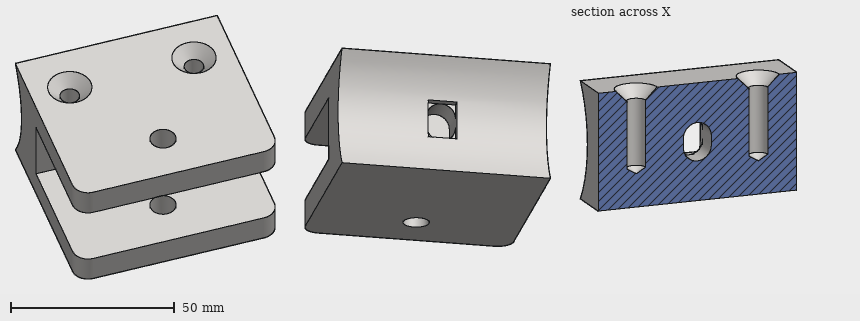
import cadquery as cq
import math

length = 60.0
width = 65.0
height = 37.5
corner_radius = 5.0

saddle_depth = 5.9

gap_start = 20.0
gap_height = 20.0

bolt_x = 45.0
bolt_diameter = 8.0

screw_x = 15.0
screw_spacing = 40.0
screw_diameter = 6.0
screw_depth = 25.0
sink_diameter = 13.5
sink_angle = 90.0
drill_tip_angle = 118.0

skin_thickness = 2.0
window_width = 9.0
window_height = 12.0
pocket_end = 17.0


def make_block():
    """U-shaped body with a hollow saddle face and rounded jaw corners."""
    block = (
        cq.Workplane("XZ")
        .moveTo(0, -height / 2)
        .lineTo(length, -height / 2)
        .lineTo(length, height / 2)
        .lineTo(0, height / 2)
        .threePointArc((saddle_depth, 0), (0, -height / 2))
        .close()
        .extrude(width / 2, both=True)
    )
    block = block.edges("|Z and >X").fillet(corner_radius)
    gap_length = length - gap_start
    gap = cq.Workplane("XY").box(gap_length, width, gap_height).translate((gap_start + gap_length / 2, 0, 0))
    return block.cut(gap)


def make_screw_hole(y):
    """Countersink, straight bore and conical drill tip, revolved about a vertical axis."""
    bore_radius = screw_diameter / 2
    sink_radius = sink_diameter / 2
    sink_depth = (sink_radius - bore_radius) / math.tan(math.radians(sink_angle / 2))
    tip_depth = bore_radius / math.tan(math.radians(drill_tip_angle / 2))
    return (
        cq.Workplane("XZ")
        .polyline([
            (0, 0),
            (sink_radius, 0),
            (bore_radius, -sink_depth),
            (bore_radius, -screw_depth),
            (0, -screw_depth - tip_depth),
        ])
        .close()
        .revolve(360, (0, 0), (0, 1))
        .translate((screw_x, y, height / 2))
    )


def make_window():
    """Rectangular opening through the skin, then an upright obround pocket."""
    skin_end = saddle_depth + skin_thickness
    opening = cq.Workplane("YZ").rect(window_width, window_height).extrude(skin_end)
    pocket = cq.Workplane("YZ").slot2D(window_height, window_width, 90).extrude(pocket_end)
    return opening.union(pocket)


bolt_hole = cq.Workplane("XY").center(bolt_x, 0).circle(bolt_diameter / 2).extrude(height / 2, both=True)

result = make_block().cut(bolt_hole).cut(make_window())
for side in (-1, 1):
    result = result.cut(make_screw_hole(side * screw_spacing / 2))